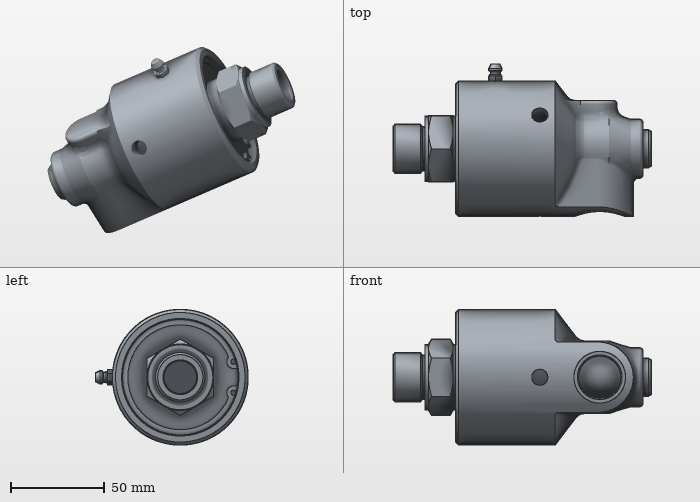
import cadquery as cq
import math


total_length = 138.7

thread_dia = 26.5
thread_end = 14.7
thread_chamfer = 1.1
neck_dia = 23.9
neck_start = 15.7
collar_dia = 35.0
collar_start = 17.0
hex_start = 19.1
hex_end = 32.2
hex_flats = 35.5
hex_chamfer_dia = 35.8
hex_chamfer_angle = 30
hex_turn = 30
bore_dia = 17.5
bore_chamfer = 0.5

body_dia = 73.0
body_start = 33.5
body_end = 87.0
body_chamfer = 1.7
barrel_dia = 39.1
cone_end = 99.8
cone_fillet = 5.5
taper_start = 115.9
tail_dia = 31.8
tail_start = 127.6
tail_end = 134.2
tail_fillet = 2.0
plug_dia = 20.5
plug_chamfer_length = 1.7
plug_chamfer_height = 1.0

recess_dia = 62.0
recess_floor = 38.1
recess_chamfer = 0.5
ring_inner_dia = 56.3
ring_front = 36.3
ear_radius = 3.6
ear_hole_dia = 2.8
ear_y = -28.5
ear_z = 8.3

arm_x = 110.1
arm_radius = 18.9
arm_fillet = 2.8
port_x = 111
spotface_dia = 27.7
spotface_y = -33.4
port_dia = 22.6
port_chamfer = 0.7
inner_tube_dia = 27.0

pad_radius = 10.1
pad_y = 26.0
pad_edge_fillet = 2.1
pad_root_fillet = 5.5
pad_rounding_start = 100.5

feature_start = 74.9
overlap = 2.8

leak_x = 78.8
leak_dia = 8.6
leak_count = 3
rotor_dia = 41.6

nipple_x = 54.9
nipple_hex_flats = 7.2
nipple_hex_top = 39.1
nipple_base = 31.9
nipple_shoulder_dia = 6.1
nipple_neck_dia = 5.4
nipple_neck_start = 40.0
nipple_neck_end = 41.3
nipple_head_dia = 7.2
nipple_head_start = 42.0
nipple_head_end = 43.1
nipple_tip_dia = 4.7
nipple_top = 45.6


def rod(diameter, start, end):
    """Solid cylinder on the X axis."""
    return cq.Workplane("YZ", origin=(start, 0, 0)).circle(diameter / 2).extrude(end - start)


def turned(points):
    """Solid of revolution from (x, radius) points, closed along the X axis."""
    outline = [(points[0][0], 0)] + points + [(points[-1][0], 0)]
    return cq.Workplane("XY").polyline(outline).close().revolve(360, (0, 0), (1, 0))


def hex_corners(flats):
    """Corner-to-corner size of a hexagon with the given size across flats."""
    return flats / math.cos(math.pi / 6)


def side_slot(center_x, radius, start_x, end_y):
    """Block from the XZ plane to end_y, with parallel sides and a round +X end."""
    return (
        cq.Workplane("XZ")
        .moveTo(start_x, -radius)
        .lineTo(center_x, -radius)
        .threePointArc((center_x + radius, 0), (center_x, radius))
        .lineTo(start_x, radius)
        .close()
        .extrude(-end_y)
    )


def with_filleted_root(base, feature, fillet):
    """Union of two solids, with a fillet along the edges where their outer faces meet."""
    joined = base.union(feature)
    shells = [base.val().Shells()[0], feature.val().Shells()[0]]
    tolerance = 0.001
    roots = []
    for edge in joined.edges().vals():
        middle = cq.Vertex.makeVertex(*edge.positionAt(0.5).toTuple())
        if all(shell.distance(middle) < tolerance for shell in shells):
            roots.append(edge)
    roots = [edge for edge in roots if edge.Center().x > feature_start + overlap]
    return joined.newObject(roots).fillet(fillet)


def pad_rounding():
    """Cutter that rounds the top rim of the pad."""
    corners = side_slot(arm_x, pad_radius + overlap, pad_rounding_start, pad_y + overlap)
    rounded = side_slot(arm_x, pad_radius, feature_start, pad_y)
    rounded = rounded.faces(">Y").edges("not <X").fillet(pad_edge_fillet)
    above_rim = cq.Workplane("XY").box(total_length, body_dia, body_dia, centered=(False, False, True))
    return corners.intersect(above_rim.translate((0, pad_y - pad_edge_fillet, 0))).cut(rounded)


def housing():
    cone_slope = (body_dia - barrel_dia) / 2 / (cone_end - body_end)
    blank = turned([
        (body_start, body_dia / 2 + overlap),
        (body_end - overlap / cone_slope, body_dia / 2 + overlap),
        (cone_end, barrel_dia / 2),
        (taper_start, barrel_dia / 2),
        (tail_start, tail_dia / 2),
        (tail_end, tail_dia / 2),
    ])
    blank = blank.edges(cq.NearestToPointSelector((cone_end, 0, barrel_dia / 2))).fillet(cone_fillet)

    arm = side_slot(arm_x, arm_radius, feature_start, -body_dia / 2 - overlap)
    blank = with_filleted_root(blank, arm, arm_fillet)
    pad = side_slot(arm_x, pad_radius, feature_start, pad_y)
    blank = with_filleted_root(blank, pad, pad_root_fillet).cut(pad_rounding())

    blank = blank.faces(">X").edges().fillet(tail_fillet)
    envelope = turned([
        (body_start, body_dia / 2 - body_chamfer),
        (body_start + body_chamfer, body_dia / 2),
        (tail_end, body_dia / 2),
    ])
    return blank.intersect(envelope)


def port():
    drill = cq.Workplane("XZ", origin=(port_x, spotface_y, 0)).circle(port_dia / 2).extrude(spotface_y)
    chamfer = (
        cq.Workplane("XZ", origin=(port_x, spotface_y, 0))
        .circle(port_dia / 2 + port_chamfer)
        .workplane(offset=-port_chamfer)
        .circle(port_dia / 2)
        .loft()
    )
    spotface = (
        cq.Workplane("XZ", origin=(port_x, spotface_y, 0)).circle(spotface_dia / 2).extrude(body_dia)
    )
    return drill.union(chamfer).cut(rod(inner_tube_dia, body_end, total_length)).union(spotface)


def leak_holes():
    hole = cq.Workplane("XZ", origin=(leak_x, 0, 0)).circle(leak_dia / 2).extrude(body_dia)
    holes = hole
    for index in range(1, leak_count):
        holes = holes.union(hole.rotate((0, 0, 0), (1, 0, 0), index * 360 / leak_count))
    return holes.cut(rod(rotor_dia, body_start, body_end))


def recess():
    radius = recess_dia / 2
    return turned([
        (body_start, radius + recess_chamfer),
        (body_start + recess_chamfer, radius),
        (recess_floor, radius),
    ])


def retaining_ring():
    plane = cq.Workplane("YZ", origin=(ring_front, 0, 0))
    thickness = recess_floor - ring_front
    ring = plane.circle(recess_dia / 2).circle(ring_inner_dia / 2).extrude(thickness)
    gap_height = 2 * (ear_z - ear_radius)
    gap = plane.center(-recess_dia / 2, 0).rect(recess_dia / 2, gap_height).extrude(thickness)
    ear_centers = [(ear_y, -ear_z), (ear_y, ear_z)]
    ears = plane.pushPoints(ear_centers).circle(ear_radius).extrude(thickness)
    ears = ears.union(
        plane.pushPoints([(ear_y - ear_radius, z) for _, z in ear_centers])
        .rect(2 * ear_radius, 2 * ear_radius)
        .extrude(thickness)
    ).intersect(rod(recess_dia, ring_front, recess_floor))
    ear_holes = plane.pushPoints(ear_centers).circle(ear_hole_dia / 2).extrude(thickness)
    return ring.cut(gap).union(ears).cut(ear_holes)


def shank():
    spindle = turned([
        (0, thread_dia / 2 - thread_chamfer),
        (thread_chamfer, thread_dia / 2),
        (thread_end, thread_dia / 2),
        (neck_start, neck_dia / 2),
        (collar_start, neck_dia / 2),
        (collar_start, collar_dia / 2),
        (recess_floor, collar_dia / 2),
    ])
    corner_dia = hex_corners(hex_flats)
    nut = (
        cq.Workplane("YZ", origin=(hex_start, 0, 0))
        .polygon(6, corner_dia)
        .extrude(hex_end - hex_start)
        .rotate((0, 0, 0), (1, 0, 0), hex_turn)
    )
    corner_radius = corner_dia / 2
    face_radius = hex_chamfer_dia / 2
    chamfer_length = (corner_radius - face_radius) * math.tan(math.radians(hex_chamfer_angle))
    envelope = turned([
        (hex_start, face_radius),
        (hex_start + chamfer_length, corner_radius),
        (hex_end - chamfer_length, corner_radius),
        (hex_end, face_radius),
    ])
    return spindle.union(nut.intersect(envelope))


def bore():
    radius = bore_dia / 2
    return turned([(0, radius + bore_chamfer), (bore_chamfer, radius), (body_end, radius)])


def grease_nipple():
    stem = (
        cq.Workplane("XZ", origin=(nipple_x, nipple_base, 0))
        .polygon(6, hex_corners(nipple_hex_flats))
        .extrude(nipple_base - nipple_hex_top)
        .rotate((nipple_x, 0, 0), (nipple_x, 1, 0), hex_turn)
    )
    outline = [
        (0, nipple_hex_top),
        (nipple_shoulder_dia / 2, nipple_hex_top),
        (nipple_shoulder_dia / 2, nipple_neck_start),
        (nipple_neck_dia / 2, nipple_neck_start),
        (nipple_neck_dia / 2, nipple_neck_end),
        (nipple_head_dia / 2, nipple_head_start),
        (nipple_head_dia / 2, nipple_head_end),
        (nipple_tip_dia / 2, nipple_top),
        (0, nipple_top),
    ]
    head = cq.Workplane("XY").polyline(outline).close().revolve(360, (0, 0), (0, 1))
    return stem.union(head.translate((nipple_x, 0, 0)))


def plug():
    radius = plug_dia / 2
    return turned([
        (tail_end, radius),
        (total_length - plug_chamfer_length, radius),
        (total_length, radius - plug_chamfer_height),
    ])


result = (
    housing()
    .cut(recess())
    .cut(port())
    .cut(leak_holes())
    .union(retaining_ring())
    .union(shank())
    .cut(bore())
    .union(plug())
    .union(grease_nipple())
)